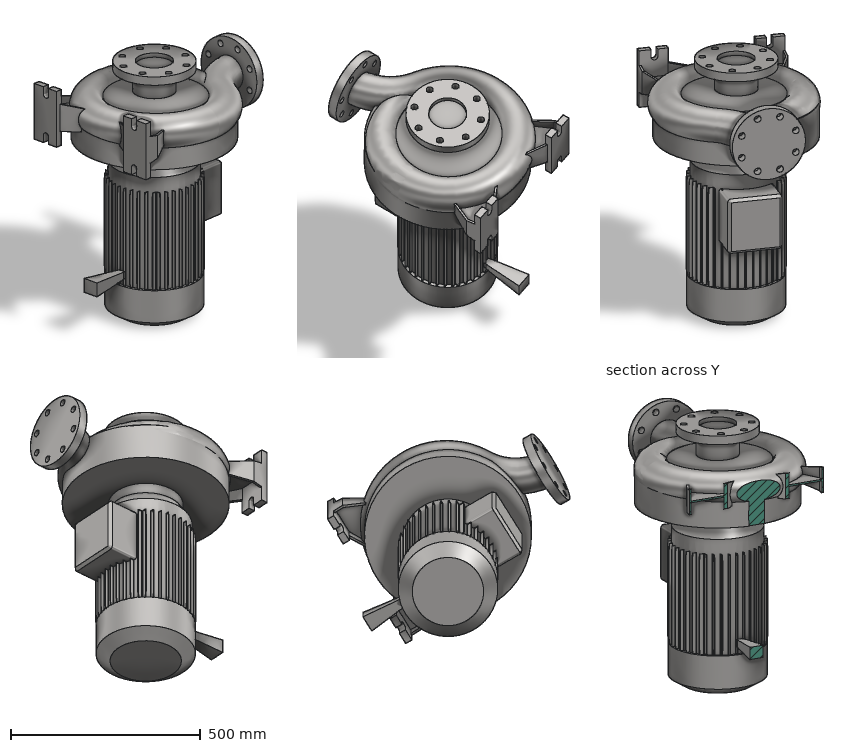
import cadquery as cq
import math


SUCTION_FACE_Z = 125
SUCTION_FLANGE_D = 220
SUCTION_FLANGE_T = 24
SUCTION_PIPE_D = 115
SUCTION_BORE_D = 100
SUCTION_BORE_DEPTH = 12
SUCTION_BOLT_CIRCLE_D = 180

DISCHARGE_FACE_Y = 315
DISCHARGE_FLANGE_D = 200
DISCHARGE_FLANGE_T = 25
DISCHARGE_BOLT_CIRCLE_D = 160

BOLT_COUNT = 8
BOLT_HOLE_D = 18

VOLUTE_R = 180
TUBE_R = 48
RING_X = VOLUTE_R - math.sqrt((2 * VOLUTE_R) ** 2 - DISCHARGE_FACE_Y ** 2)
BEND_ANGLE = math.degrees(math.asin(DISCHARGE_FACE_Y / (2 * VOLUTE_R)))

TAPER_SWEEP = 120
QUARTER_TURN = 90
TAPER_SECTIONS = 7
TAPER_QUARTER_DROP = 18
TAPER_EXPONENT = 1.8

HUB_R = 140
HUB_RIM_Z = math.sqrt(TUBE_R ** 2 - (VOLUTE_R - HUB_R) ** 2)
HUB_TOP_Z = 40

CASING_R = 220
CASING_TOP_Z = 10
CASING_BOTTOM_Z = -94

NECK_R = 98.5
NECK_BOTTOM_Z = -124
BODY_R = 122
BODY_TOP_Z = -158
FIN_TOP_Z = -199
FIN_BOTTOM_Z = -479
COWL_R = 131
COWL_EDGE_Z = -571
COWL_BOTTOM_R = 94
MOTOR_BOTTOM_Z = -594

FIN_TIP_R = 132.3
FIN_PITCH_ANGLE = 9
FINS_PER_OCTANT = 5
FIN_T = 1.5
FIN_END_H = 18

BOX_W = 149
BOX_H = 154
BOX_BACK_Y = 188
BOX_CHAMFER = 8
BOX_FILLET = 9

FOOT_FACE_Y = -250
FOOT_T = 19
FOOT_H = 160
FOOT_INNER_X = 120
FOOT_OUTER_X = 200
SLOT_X = 158
SLOT_W = 18
SLOT_DEPTH = 30

RIB_T = 6
WEB_T = 6
RIB_PLATE_HALF_H = 38
RIB_END_HALF_H = 20
RIB_END_Y = -140
BRACKET_KINK_Y = -204
OUTER_RIB_END = (-162, -130)
INNER_RIB_END = (-50, -199)
BRACKET_INSIDE = (-90, -120)

PROP_FACE_Y = -248
PROP_Z = -448
PROP_FACE_W = 46
PROP_FACE_H = 40
PROP_ROOT_SIZE = 20
PROP_ROOT_Y = -125


def cylinder(radius, bottom_z, top_z):
    return cq.Workplane("XY", origin=(0, 0, bottom_z)).circle(radius).extrude(top_z - bottom_z)


def bolt_holes(workplane, circle_d, depth):
    half_pitch = 180 / BOLT_COUNT
    holes = workplane.polarArray(circle_d / 2, half_pitch, 360, BOLT_COUNT)
    return holes.circle(BOLT_HOLE_D / 2).extrude(-depth)


def ring_point(angle, radius):
    a = math.radians(angle)
    return (RING_X + radius * math.cos(a), radius * math.sin(a))


def make_motor():
    profile = [
        (0, CASING_BOTTOM_Z),
        (NECK_R, CASING_BOTTOM_Z),
        (NECK_R, NECK_BOTTOM_Z),
        (BODY_R, BODY_TOP_Z),
        (BODY_R, FIN_BOTTOM_Z),
        (COWL_R, FIN_BOTTOM_Z),
        (COWL_R, COWL_EDGE_Z),
        (COWL_BOTTOM_R, MOTOR_BOTTOM_Z),
        (0, MOTOR_BOTTOM_Z),
    ]
    return cq.Workplane("XZ").polyline(profile).close().revolve(360, (0, 0), (0, 1))


def make_fins():
    height = FIN_TOP_Z - FIN_BOTTOM_Z
    mid_z = (FIN_TOP_Z + FIN_BOTTOM_Z) / 2
    fins = cq.Workplane("XY")
    for i in range(FINS_PER_OCTANT):
        offset = FIN_TIP_R * math.sin(math.radians((i + 0.5) * FIN_PITCH_ANGLE))
        span = 2 * FIN_TIP_R
        for side in (-offset, offset):
            along_y = cq.Workplane("XY").box(FIN_T, span, height).translate((side, 0, 0))
            along_x = cq.Workplane("XY").box(span, FIN_T, height).translate((0, side, 0))
            fins = fins.add(along_y).add(along_x)
    fins = fins.combine().translate((0, 0, mid_z))
    envelope = cylinder(FIN_TIP_R, FIN_BOTTOM_Z, FIN_TOP_Z).edges().chamfer(FIN_END_H, FIN_TIP_R - COWL_R)
    return fins.intersect(envelope)


def make_terminal_box():
    box = cq.Workplane("XY").box(BOX_W, BOX_BACK_Y, BOX_H, centered=(True, False, False))
    box = box.edges("|Y").fillet(BOX_FILLET).faces(">Y").chamfer(BOX_CHAMFER)
    return box.translate((0, 0, FIN_TOP_Z - BOX_H))


def make_prop():
    return (
        cq.Workplane("XZ", origin=(0, PROP_FACE_Y, PROP_Z))
        .rect(PROP_FACE_W, PROP_FACE_H)
        .workplane(offset=PROP_FACE_Y - PROP_ROOT_Y)
        .rect(PROP_ROOT_SIZE, PROP_ROOT_SIZE)
        .loft(ruled=True)
    )


def make_volute_tube():
    """Half ring, run up to the discharge bend, and the reverse bend to the discharge face."""
    start = (RING_X - VOLUTE_R, 0)
    join = ring_point(BEND_ANGLE, VOLUTE_R)
    half_bend = math.radians(BEND_ANGLE / 2)
    bend_mid = (
        VOLUTE_R * (1 - math.cos(half_bend)),
        DISCHARGE_FACE_Y - VOLUTE_R * math.sin(half_bend),
    )
    path = (
        cq.Workplane("XY")
        .moveTo(*start)
        .threePointArc((RING_X, -VOLUTE_R), (RING_X + VOLUTE_R, 0))
        .threePointArc(ring_point(BEND_ANGLE / 2, VOLUTE_R), join)
        .threePointArc(bend_mid, (0, DISCHARGE_FACE_Y))
    )
    return cq.Workplane("XZ", origin=(*start, 0)).circle(TUBE_R).sweep(path)


def make_volute_start():
    """Tube section that grows from the tongue to the full ring section."""
    sections = []
    for i in range(TAPER_SECTIONS):
        turn = TAPER_SWEEP * i / (TAPER_SECTIONS - 1)
        shrink = TAPER_QUARTER_DROP / 2 * (turn / QUARTER_TURN) ** TAPER_EXPONENT
        angle = math.radians(180 - turn)
        centre = ring_point(180 - turn, VOLUTE_R - shrink)
        normal = cq.Vector(math.sin(angle), -math.cos(angle), 0)
        sections.append(cq.Wire.makeCircle(TUBE_R - shrink, cq.Vector(*centre, 0), normal))
    return cq.Workplane("XY").add(cq.Solid.makeLoft(sections))


def make_hub():
    pipe_r = SUCTION_PIPE_D / 2
    profile = [
        (0, CASING_BOTTOM_Z),
        (HUB_R, CASING_BOTTOM_Z),
        (HUB_R, HUB_RIM_Z),
        (pipe_r, HUB_TOP_Z),
        (0, HUB_TOP_Z),
    ]
    hub = cq.Workplane("XZ").polyline(profile).close().revolve(360, (0, 0), (0, 1))
    return hub.translate((RING_X, 0, 0))


def make_suction_port():
    flange_bottom = SUCTION_FACE_Z - SUCTION_FLANGE_T
    pipe = cylinder(SUCTION_PIPE_D / 2, 0, SUCTION_FACE_Z)
    flange = cylinder(SUCTION_FLANGE_D / 2, flange_bottom, SUCTION_FACE_Z)
    face = cq.Workplane("XY", origin=(0, 0, SUCTION_FACE_Z))
    holes = bolt_holes(face, SUCTION_BOLT_CIRCLE_D, SUCTION_FLANGE_T)
    bore = cylinder(SUCTION_BORE_D / 2, SUCTION_FACE_Z - SUCTION_BORE_DEPTH, SUCTION_FACE_Z)
    return pipe.union(flange).cut(holes).cut(bore)


def make_discharge_flange():
    face = cq.Workplane("XZ", origin=(0, DISCHARGE_FACE_Y, 0))
    flange = face.circle(DISCHARGE_FLANGE_D / 2).extrude(DISCHARGE_FLANGE_T)
    holes = bolt_holes(face, DISCHARGE_BOLT_CIRCLE_D, -DISCHARGE_FLANGE_T)
    return flange.cut(holes)


def make_left_foot():
    """Slotted plate on the -X side with a two-rib bracket reaching into the casing."""
    plate_back_y = FOOT_FACE_Y + FOOT_T
    width = FOOT_OUTER_X - FOOT_INNER_X
    plate = (
        cq.Workplane("XY")
        .box(width, FOOT_T, FOOT_H, centered=(False, False, True))
        .translate((-FOOT_OUTER_X, FOOT_FACE_Y, 0))
    )
    slot_length = 2 * SLOT_DEPTH
    slots = (
        cq.Workplane("XZ", origin=(0, plate_back_y, 0))
        .pushPoints([(-SLOT_X, -FOOT_H / 2), (-SLOT_X, FOOT_H / 2)])
        .slot2D(slot_length, SLOT_W, 90)
        .extrude(FOOT_T)
    )

    root_y = plate_back_y - RIB_T
    outline = [
        (-FOOT_INNER_X, root_y),
        (-FOOT_OUTER_X, root_y),
        (-FOOT_OUTER_X, BRACKET_KINK_Y),
        OUTER_RIB_END,
        BRACKET_INSIDE,
        INNER_RIB_END,
    ]
    base = cq.Workplane("XY").polyline(outline).close()
    pockets = base.offset2D(-RIB_T, "intersection").extrude(FOOT_H / 2, both=True)
    web = cq.Workplane("XY").polyline(outline).close().extrude(WEB_T / 2, both=True)
    ribs = cq.Workplane("XY").polyline(outline).close().extrude(FOOT_H / 2, both=True).cut(pockets)

    slope = (RIB_PLATE_HALF_H - RIB_END_HALF_H) / (RIB_END_Y - plate_back_y)
    inside_y = BRACKET_INSIDE[1]
    inside_half_h = RIB_PLATE_HALF_H - slope * (inside_y - plate_back_y)
    root_half_h = RIB_PLATE_HALF_H + slope * RIB_T
    taper = cq.Workplane("YZ").polyline([
        (root_y, -root_half_h),
        (root_y, root_half_h),
        (inside_y, inside_half_h),
        (inside_y, -inside_half_h),
    ]).close().extrude(-FOOT_OUTER_X)
    return plate.cut(slots).union(ribs.union(web).intersect(taper))


left_foot = make_left_foot()
parts = [
    make_motor(),
    make_fins(),
    make_terminal_box(),
    make_prop(),
    make_hub(),
    make_volute_tube(),
    make_volute_start(),
    make_suction_port(),
    make_discharge_flange(),
    left_foot,
    left_foot.mirror("YZ"),
]
result = cylinder(CASING_R, CASING_BOTTOM_Z, CASING_TOP_Z)
for part in parts:
    result = result.union(part)